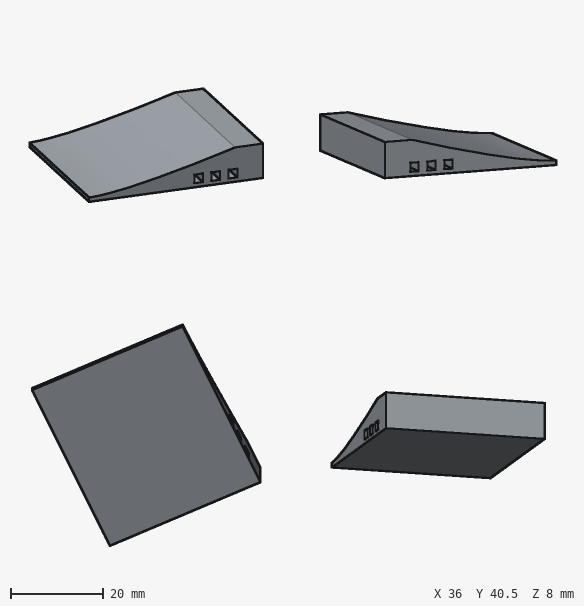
import cadquery as cq

width = 36.0
length = 40.5
height = 8.0

flat_length = 6.52
lip_height = 1.0
back_y = length / 2
front_y = -length / 2
ramp_top = (back_y - flat_length, height)
ramp_bottom = (front_y, lip_height)
ramp_points = [(4.05, 5.43), (-4.05, 3.52), (-12.15, 1.9)]

hole_size = 2.0
hole_pitch = 4.0
hole_count = 3
first_hole_from_back = 7.0
hole_center_z = 2.0


def wedge_body():
    """Extrude the side profile along X, centred on the origin in X and Y."""
    return (
        cq.Workplane("YZ", origin=(-width / 2, 0, 0))
        .moveTo(back_y, 0)
        .lineTo(back_y, height)
        .lineTo(*ramp_top)
        .spline([*ramp_points, ramp_bottom], includeCurrent=True)
        .lineTo(front_y, 0)
        .close()
        .extrude(width)
    )


def cross_holes():
    """Square bars along X, spaced from the back face toward the lip."""
    first_hole_y = back_y - first_hole_from_back
    centers = [(first_hole_y - i * hole_pitch, hole_center_z) for i in range(hole_count)]
    return (
        cq.Workplane("YZ", origin=(-width / 2, 0, 0))
        .pushPoints(centers)
        .rect(hole_size, hole_size)
        .extrude(width)
    )


result = wedge_body().cut(cross_holes())